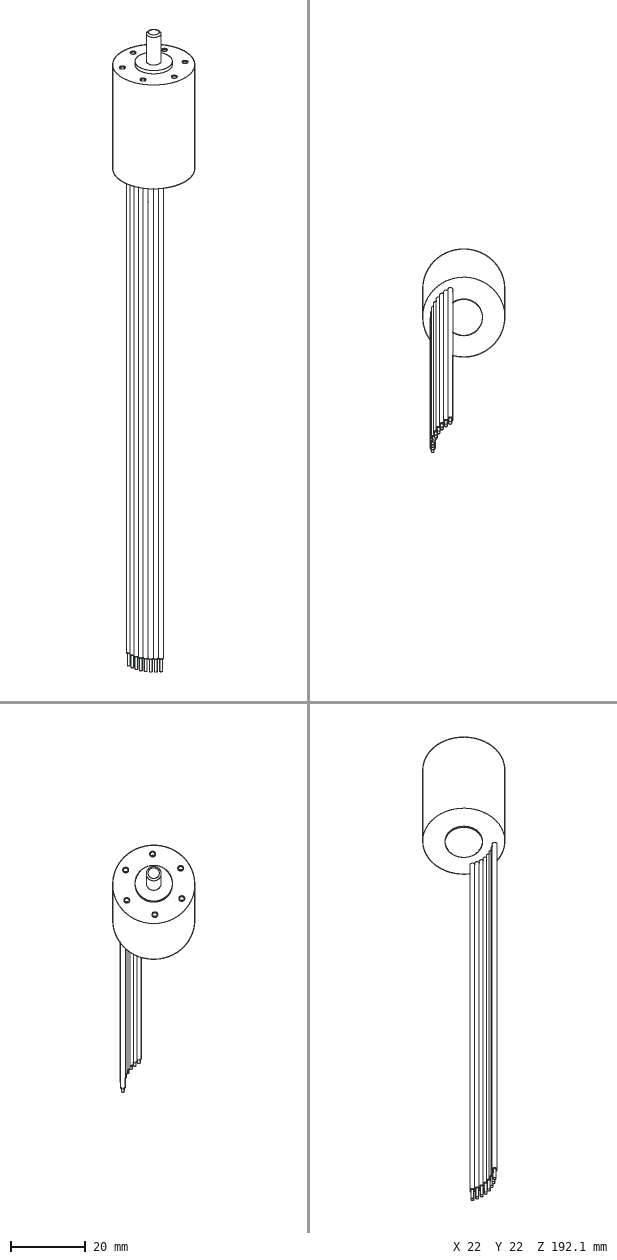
import cadquery as cq
import math

TOTAL_LENGTH = 192.1

HOUSING_DIAMETER = 22.0
HOUSING_LENGTH = 32.0

BOSS_DIAMETER = 10.0
FRONT_BOSS_HEIGHT = 1.0
REAR_BOSS_HEIGHT = 0.5

SHAFT_DIAMETER = 4.0
SHAFT_CHAMFER = 0.5
SHAFT_REACH = 10.0

HOLE_COUNT = 6
HOLE_DIAMETER = 1.2
HOLE_MOUTH_CHAMFER = 0.2
HOLE_DEPTH = 3.0
HOLE_CIRCLE_DIAMETER = 17.0
FIRST_HOLE_ANGLE = 90.0
HOLE_PITCH_ANGLE = 360.0 / HOLE_COUNT

WIRE_COUNT = 8
WIRE_DIAMETER = 1.37
CONDUCTOR_DIAMETER = 0.8
STRIPPED_LENGTH = 4.0
WIRE_ARC_RADIUS = 8.3
WIRE_PITCH_ANGLE = 9.5
WIRE_ARC_CENTRE_ANGLE = 270.0
FIRST_WIRE_ANGLE = WIRE_ARC_CENTRE_ANGLE - WIRE_PITCH_ANGLE * (WIRE_COUNT - 1) / 2

WIRE_END_Z = HOUSING_LENGTH + SHAFT_REACH - TOTAL_LENGTH
INSULATION_END_Z = WIRE_END_Z + STRIPPED_LENGTH


def cylinder(diameter, height, base_z):
    """Upright cylinder on the motor axis, growing up from base_z."""
    return cq.Workplane("XY").workplane(offset=base_z).circle(diameter / 2).extrude(height)


def polar_point(radius, angle):
    """Point on Z = 0 at a radius from the motor axis and an angle in degrees from +X."""
    return (radius * math.cos(math.radians(angle)), radius * math.sin(math.radians(angle)), 0)


def make_mounting_hole(angle):
    """Cutting tool for one blind hole at the given polar angle, widened by a chamfer at its mouth."""
    drill = cylinder(HOLE_DIAMETER, HOLE_DEPTH, HOUSING_LENGTH - HOLE_DEPTH)
    mouth_radius = HOLE_DIAMETER / 2 + HOLE_MOUTH_CHAMFER
    mouth = cq.Solid.makeCone(
        HOLE_DIAMETER / 2,
        mouth_radius,
        HOLE_MOUTH_CHAMFER,
        pnt=cq.Vector(0, 0, HOUSING_LENGTH - HOLE_MOUTH_CHAMFER),
    )
    tool = drill.union(cq.Workplane(mouth))
    return tool.translate(polar_point(HOLE_CIRCLE_DIAMETER / 2, angle))


def make_motor():
    """Housing, bosses and shaft as one body, with the mounting holes cut."""
    housing = cylinder(HOUSING_DIAMETER, HOUSING_LENGTH, 0)
    front_boss = cylinder(BOSS_DIAMETER, FRONT_BOSS_HEIGHT, HOUSING_LENGTH)
    rear_boss = cylinder(BOSS_DIAMETER, REAR_BOSS_HEIGHT, -REAR_BOSS_HEIGHT)
    shaft = cylinder(SHAFT_DIAMETER, SHAFT_REACH, HOUSING_LENGTH).faces(">Z").chamfer(SHAFT_CHAMFER)
    for index in range(HOLE_COUNT):
        housing = housing.cut(make_mounting_hole(FIRST_HOLE_ANGLE + index * HOLE_PITCH_ANGLE))
    return housing.union(front_boss).union(rear_boss).union(shaft)


def make_wire(angle):
    """One lead hanging from the housing at the given polar angle, with its end stripped."""
    insulation = cylinder(WIRE_DIAMETER, -INSULATION_END_Z, INSULATION_END_Z)
    conductor = cylinder(CONDUCTOR_DIAMETER, STRIPPED_LENGTH, WIRE_END_Z)
    return insulation.union(conductor).translate(polar_point(WIRE_ARC_RADIUS, angle))


motor = make_motor()

wires = []
for index in range(WIRE_COUNT):
    wire = make_wire(FIRST_WIRE_ANGLE + index * WIRE_PITCH_ANGLE)
    wires.append(wire.solids().val())

result = cq.Compound.makeCompound([motor.solids().val(), *wires])